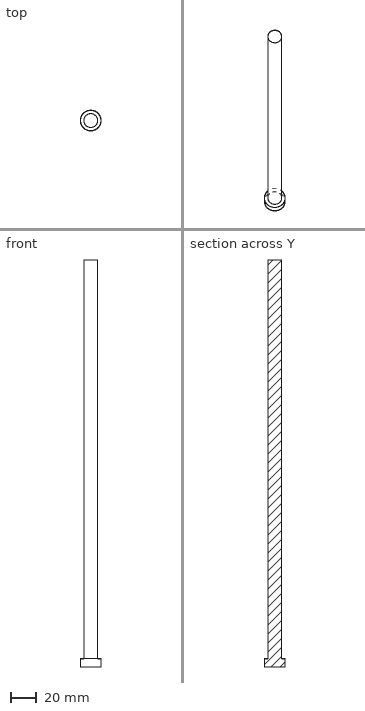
import cadquery as cq

total_length = 315.0
head_diameter = 16.0
head_height = 6.5
shaft_diameter = 10.7

head = cq.Workplane("XY").circle(head_diameter / 2).extrude(head_height)
shaft = cq.Workplane("XY").circle(shaft_diameter / 2).extrude(total_length)

result = head.union(shaft)